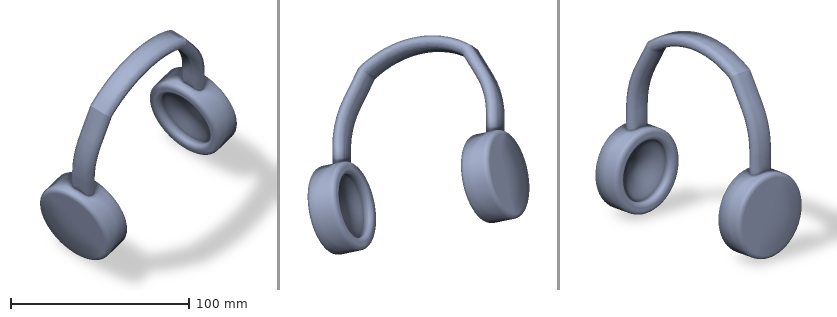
import cadquery as cq
import math

cup_diameter = 50.8
cup_radius = cup_diameter / 2
cup_depth = 18.0
edge_radius = 2.5
overall_width = 116.1
cup_outer_y = overall_width / 2
cup_inner_y = cup_outer_y - cup_depth

bore_diameter = 36.8
bore_radius = bore_diameter / 2
driver_recess = 5.0
cone_depth = 10.8
driver_back_wall = 1.0
bore_depth = driver_recess + cone_depth + driver_back_wall

band_width = 14.3
band_thickness = 7.0
overall_height = 117.9
leg_y = 49.2
leg_top_z = 62.6 - cup_radius
bend_radius = 50.7
bend_angle = math.radians(30)
crown_end_y = 33.1

crown_top_z = overall_height - cup_radius - band_thickness / 2
bend_end_y = leg_y - bend_radius * (1 - math.cos(bend_angle))
bend_end_z = leg_top_z + bend_radius * math.sin(bend_angle)
bend_mid_y = leg_y - bend_radius * (1 - math.cos(bend_angle / 2))
bend_mid_z = leg_top_z + bend_radius * math.sin(bend_angle / 2)
crown_end_z = bend_end_z + (bend_end_y - crown_end_y) / math.tan(bend_angle)


def revolve_about_y(profile):
    """Turn a closed (radius, Y) profile into a solid around the Y axis."""
    return profile.close().revolve(360, (0, 0), (0, 1))


def place_on_side(body, side):
    """Keep a body on the +Y side, or mirror it to the -Y side."""
    placed = body if side > 0 else body.mirror("XZ")
    return placed.solids()


def make_cup(side):
    disc = cq.Workplane("XY").moveTo(0, cup_inner_y).lineTo(cup_radius, cup_inner_y)
    disc = revolve_about_y(disc.lineTo(cup_radius, cup_outer_y).lineTo(0, cup_outer_y))
    bore_floor_y = cup_inner_y + bore_depth
    bore = cq.Workplane("XY").moveTo(0, cup_inner_y).lineTo(bore_radius, cup_inner_y)
    bore = revolve_about_y(bore.lineTo(bore_radius, bore_floor_y).lineTo(0, bore_floor_y))
    cup = disc.cut(bore)
    cup = cup.faces("<Y or >Y").edges().fillet(edge_radius)
    return place_on_side(cup, side)


def make_driver(side):
    rim_y = cup_inner_y + driver_recess
    apex_y = rim_y + cone_depth
    back_y = cup_inner_y + bore_depth
    profile = cq.Workplane("XY").moveTo(0, apex_y).lineTo(bore_radius, rim_y)
    profile = profile.lineTo(bore_radius, back_y).lineTo(0, back_y)
    return place_on_side(revolve_about_y(profile), side)


def make_headband():
    path = (
        cq.Workplane("YZ")
        .moveTo(-leg_y, 0)
        .lineTo(-leg_y, leg_top_z)
        .threePointArc((-bend_mid_y, bend_mid_z), (-bend_end_y, bend_end_z))
        .lineTo(-crown_end_y, crown_end_z)
        .threePointArc((0, crown_top_z), (crown_end_y, crown_end_z))
        .lineTo(bend_end_y, bend_end_z)
        .threePointArc((bend_mid_y, bend_mid_z), (leg_y, leg_top_z))
        .lineTo(leg_y, 0)
    )
    section = cq.Workplane("XY").center(0, -leg_y).slot2D(band_width, band_thickness)
    band = section.sweep(path, transition="right")
    cup_space = cq.Workplane("XZ").circle(cup_radius).extrude(cup_outer_y, both=True)
    return band.cut(cup_space).solids()


cups = [make_cup(side) for side in (-1, 1)]
drivers = [make_driver(side) for side in (-1, 1)]
headband = make_headband()

result = cq.Compound.makeCompound(
    [headband.val(), *[cup.val() for cup in cups], *[driver.val() for driver in drivers]]
)